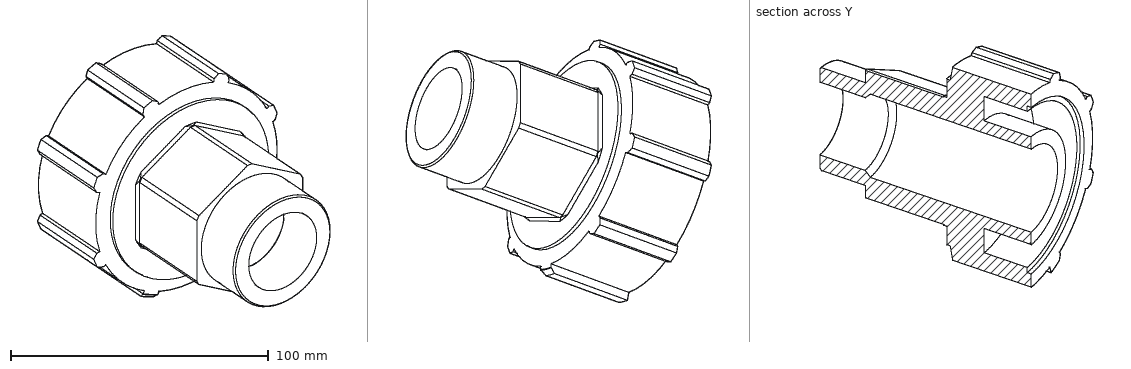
import cadquery as cq
import math

TOTAL_LENGTH = 97.0

NUT_RADIUS = 44.7
NUT_LENGTH = 37.3
NUT_BORE_RADIUS = 72.0 / 2
NUT_BORE_DEPTH = 21.5
COUNTERBORE_RADIUS = 76.8 / 2
COUNTERBORE_DEPTH = 1.8
END_TAPER_ANGLE = 10.0

RIB_COUNT = 8
RIB_PITCH = 360.0 / RIB_COUNT
FIRST_RIB_ANGLE = RIB_PITCH / 2
RIB_OUTER_RADIUS = 48.0
RIB_HALF_ANGLE = 5.0
RIB_CREST_HALF_ANGLE = 2.71
RIB_CHAMFER = 2.0
RIB_ROOT_OVERLAP = 2.0
RIB_SHOULDER_RADIUS = RIB_OUTER_RADIUS - RIB_CHAMFER
RIB_ROOT_RADIUS = NUT_RADIUS - RIB_ROOT_OVERLAP
SHARP_RIB_INDEX = 5
SHARP_RIB_BEVEL_START = 33.9
RIB_BEVEL_ANGLE = 45.0
TRIM_CLEARANCE = 5.0
TRIM_RADIUS = RIB_OUTER_RADIUS + TRIM_CLEARANCE

COLLAR_RADIUS = 76.8 / 2
COLLAR_END = 38.9

HEX_END = 76.2
HEX_ACROSS_FLATS = 52.2
HEX_CORNER_DISTANCE = 29.5
HEX_TURN = 90.0
FLARE_RADIUS = 59.8 / 2
FLARE_LENGTH = 1.3
FLARE_RISE = 1.1

ROUND_END_RADIUS = 47.8 / 2
ROUND_END_CHAMFER = 0.7
SPIGOT_RADIUS = 50.0 / 2
BORE_RADIUS = 38.24 / 2
NARROW_BORE_RADIUS = 33.46 / 2
BORE_STEP_ANGLE = 45.0


def cylinder(radius, start, end):
    """Solid cylinder on the X axis between two X positions."""
    return cq.Workplane("YZ").workplane(offset=start).circle(radius).extrude(end - start)


def revolve_about_x(points):
    """Solid of revolution of an (x, radius) outline about the X axis."""
    return cq.Workplane("XY").polyline(points).close().revolve(360, (0, 0, 0), (1, 0, 0))


def polar(radius, degrees):
    """(y, z) of a point at a radius and an angle measured from +Y towards +Z."""
    angle = math.radians(degrees)
    return radius * math.cos(angle), radius * math.sin(angle)


def outside_cone(x, radius, angle):
    """Ring that trims everything outside a cone through (x, radius), angle from the radial plane."""
    rise = TRIM_RADIUS - radius
    outer_x = x - rise * math.tan(math.radians(angle))
    return revolve_about_x([(x, radius), (outer_x, TRIM_RADIUS), (x, TRIM_RADIUS)])


def rib(angle, sharp):
    """Radial-sided rib; a sharp rib keeps its trailing long edge unchamfered."""
    profile = (
        cq.Workplane("YZ")
        .moveTo(*polar(RIB_ROOT_RADIUS, angle - RIB_HALF_ANGLE))
        .lineTo(*polar(RIB_SHOULDER_RADIUS, angle - RIB_HALF_ANGLE))
        .lineTo(*polar(RIB_OUTER_RADIUS, angle - RIB_CREST_HALF_ANGLE))
    )
    if sharp:
        profile = profile.threePointArc(
            polar(RIB_OUTER_RADIUS, angle), polar(RIB_OUTER_RADIUS, angle + RIB_HALF_ANGLE)
        )
    else:
        profile = profile.threePointArc(
            polar(RIB_OUTER_RADIUS, angle), polar(RIB_OUTER_RADIUS, angle + RIB_CREST_HALF_ANGLE)
        ).lineTo(*polar(RIB_SHOULDER_RADIUS, angle + RIB_HALF_ANGLE))
    profile = profile.lineTo(*polar(RIB_ROOT_RADIUS, angle + RIB_HALF_ANGLE))
    return profile.close().extrude(NUT_LENGTH)


def union_nut():
    """Ribbed nut with a tapered +X end and a stepped bore open at X = 0."""
    nut = cylinder(NUT_RADIUS, 0, NUT_LENGTH)
    for index in range(RIB_COUNT):
        angle = FIRST_RIB_ANGLE + index * RIB_PITCH
        if index == SHARP_RIB_INDEX:
            bevel_end = SHARP_RIB_BEVEL_START + RIB_CHAMFER
            bevel = outside_cone(bevel_end, RIB_SHOULDER_RADIUS, RIB_BEVEL_ANGLE)
            nut = nut.union(rib(angle, sharp=True).cut(bevel))
        else:
            nut = nut.union(rib(angle, sharp=False))
    nut = nut.cut(outside_cone(NUT_LENGTH, COLLAR_RADIUS, END_TAPER_ANGLE))
    nut = nut.cut(cylinder(NUT_BORE_RADIUS, 0, NUT_BORE_DEPTH))
    return nut.cut(cylinder(COUNTERBORE_RADIUS, 0, COUNTERBORE_DEPTH))


def hexagon(across_flats, turn):
    """Hexagon outline at the collar end, normal to X; a turn of 0 puts two corners along Y."""
    corner_diameter = across_flats / math.cos(math.pi / 6)
    plane = cq.Workplane("YZ").workplane(offset=COLLAR_END).transformed(rotate=(0, 0, turn))
    return plane.polygon(6, corner_diameter)


def hex_grip():
    """Hexagonal grip with flattened corners, flaring out to a rounded foot at the collar."""
    length = HEX_END - COLLAR_END
    corner_flats = hexagon(2 * HEX_CORNER_DISTANCE, 0).extrude(length)
    grip = hexagon(HEX_ACROSS_FLATS, HEX_TURN).extrude(length).intersect(corner_flats)
    flare_taper = math.degrees(math.atan(FLARE_RISE / FLARE_LENGTH))
    flare = (
        hexagon(HEX_ACROSS_FLATS + 2 * FLARE_RISE, HEX_TURN)
        .extrude(FLARE_LENGTH, taper=flare_taper)
        .intersect(cylinder(FLARE_RADIUS, COLLAR_END, HEX_END))
    )
    return grip.union(flare)


def round_end():
    """Plain round end with a chamfered +X rim."""
    return cylinder(ROUND_END_RADIUS, HEX_END, TOTAL_LENGTH).faces(">X").chamfer(ROUND_END_CHAMFER)


def stepped_bore():
    """Through bore, wide from the spigot, with a conical step down at the round end."""
    step_length = (BORE_RADIUS - NARROW_BORE_RADIUS) / math.tan(math.radians(BORE_STEP_ANGLE))
    return revolve_about_x([
        (0, 0),
        (0, BORE_RADIUS),
        (HEX_END - step_length, BORE_RADIUS),
        (HEX_END, NARROW_BORE_RADIUS),
        (TOTAL_LENGTH, NARROW_BORE_RADIUS),
        (TOTAL_LENGTH, 0),
    ])


collar = cylinder(COLLAR_RADIUS, NUT_LENGTH, COLLAR_END)
spigot = cylinder(SPIGOT_RADIUS, 0, NUT_LENGTH)

body = union_nut().union(collar).union(spigot).union(hex_grip()).union(round_end())
result = body.cut(stepped_bore())